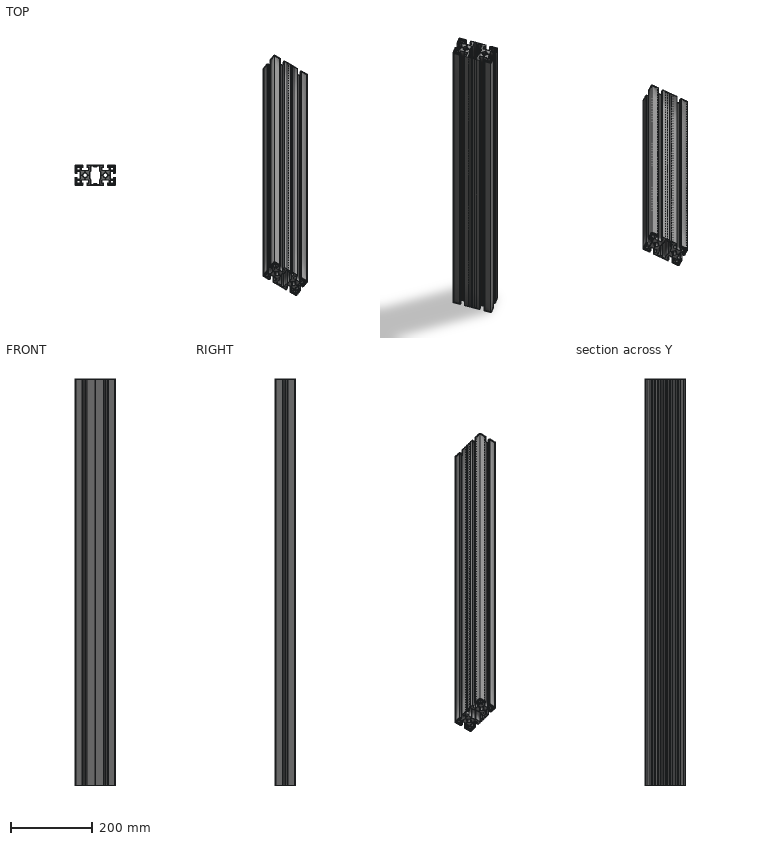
import cadquery as cq

length = 1000.0
cell_size = 50.0
half_cell = cell_size / 2
half_width = cell_size
corner_radius = 2.6

slot_opening = 10.0
slot_inner_width = 18.0
slot_depth = 13.0
lip_thickness = 5.5
lip_chamfer = 1.5

core_half = half_cell - slot_depth
core_groove_width = 1.5
core_groove_depth = 3.0
core_hole_diameter = 11.0
core_hole_lobe_span = 14.0
core_hole_lobe_width = 2.0

hollow_size = 7.0
hollow_inset = 5.5
channel_inset = 2.5
channel_thickness = 1.0
channel_end = 8.0

cavity_width = 21.0
cavity_shoulder_height = 11.0
skin_thickness = 2.5
marking_groove_width = 1.5
marking_groove_depth = 3.0
rib_tip_width = 5.0
rib_base_width = 11.0
rib_height = 2.5


def prism(points):
    """Extrude a closed outline over the full length."""
    return cq.Workplane("XY").polyline(points).close().extrude(length)


def mirrored(points):
    """Complete an outline by reflecting it across the Y axis."""
    return points + [(-x, y) for x, y in reversed(points) if x != 0]


def cut_all_quarters(solid, tool):
    """Cut the tool and its reflections across the XZ and YZ planes."""
    for copy in (tool, tool.mirror("XZ")):
        solid = solid.cut(copy).cut(copy.mirror("YZ"))
    return solid


def t_slot():
    """Slot opening toward +Y of a cell centred on the origin, with a V-groove in its floor."""
    lip_bottom = half_cell - lip_thickness
    half_outline = [
        (0, core_half - core_groove_depth),
        (core_groove_width / 2, core_half),
        (slot_inner_width / 2, core_half),
        (slot_inner_width / 2, lip_bottom),
        (slot_opening / 2, lip_bottom),
        (slot_opening / 2, half_cell),
    ]
    return prism(mirrored(half_outline))


def lip_chamfer_tool():
    """Bevel along the +X lip of a slot that opens toward +Y of a cell centred on the origin."""
    lip_edge = slot_opening / 2
    return prism(
        [
            (lip_edge, half_cell),
            (lip_edge + lip_chamfer, half_cell),
            (lip_edge, half_cell - lip_chamfer),
        ]
    )


def core_hole():
    """Round hole with four narrow lobes, on the axis of the +X cell."""
    plane = cq.Workplane("XY").center(half_cell, 0)
    hole = plane.circle(core_hole_diameter / 2).extrude(length)
    hole = hole.union(plane.rect(core_hole_lobe_span, core_hole_lobe_width).extrude(length))
    return hole.union(plane.rect(core_hole_lobe_width, core_hole_lobe_span).extrude(length))


def corner_hollow():
    """Square hollow in the +X +Y corner."""
    middle_inset = hollow_inset + hollow_size / 2
    plane = cq.Workplane("XY").center(half_width - middle_inset, half_cell - middle_inset)
    return plane.rect(hollow_size, hollow_size).extrude(length)


def corner_channel():
    """Thin L-shaped channel that follows the skin of the +X +Y corner."""
    outer_x = half_width - channel_inset
    outer_y = half_cell - channel_inset
    inner_x = outer_x - channel_thickness
    inner_y = outer_y - channel_thickness
    return prism(
        [
            (half_cell + channel_end, outer_y),
            (outer_x, outer_y),
            (outer_x, channel_end),
            (inner_x, channel_end),
            (inner_x, inner_y),
            (half_cell + channel_end, inner_y),
        ]
    )


def central_cavity():
    """Cavity between the two cores, with a V-groove in each core wall."""
    wall = cavity_width / 2
    ceiling = half_cell - skin_thickness
    core_wall = half_cell - core_half
    quarter = [
        (rib_tip_width / 2, ceiling - rib_height),
        (rib_base_width / 2, ceiling),
        (wall, ceiling),
        (wall, cavity_shoulder_height),
        (core_wall, slot_inner_width / 2),
        (core_wall, core_groove_width / 2),
    ]
    groove_bottom = [(core_wall + core_groove_depth, 0)]
    right_half = quarter + groove_bottom + [(x, -y) for x, y in reversed(quarter)]
    return prism(mirrored(right_half))


def marking_groove():
    """V-groove in the middle of the +Y face."""
    return prism(
        [
            (-marking_groove_width / 2, half_cell),
            (marking_groove_width / 2, half_cell),
            (0, half_cell - marking_groove_depth),
        ]
    )


body = cq.Workplane("XY").rect(2 * half_width, cell_size).extrude(length)
body = body.edges("|Z").fillet(corner_radius)

to_cell = (half_cell, 0, 0)
slot = t_slot()
body = cut_all_quarters(body, slot.translate(to_cell))
end_slot = slot.rotate((0, 0, 0), (0, 0, 1), -90).translate(to_cell)
body = body.cut(end_slot).cut(end_slot.mirror("YZ"))

long_face_chamfer = lip_chamfer_tool()
end_face_chamfer = long_face_chamfer.rotate((0, 0, 0), (0, 0, 1), -90)
for chamfer in (long_face_chamfer, end_face_chamfer):
    body = cut_all_quarters(body, chamfer.translate(to_cell))

hole = core_hole()
body = body.cut(hole).cut(hole.mirror("YZ"))

body = cut_all_quarters(body, corner_hollow())
body = cut_all_quarters(body, corner_channel())

body = body.cut(central_cavity())
groove = marking_groove()
body = body.cut(groove).cut(groove.mirror("XZ"))

result = body